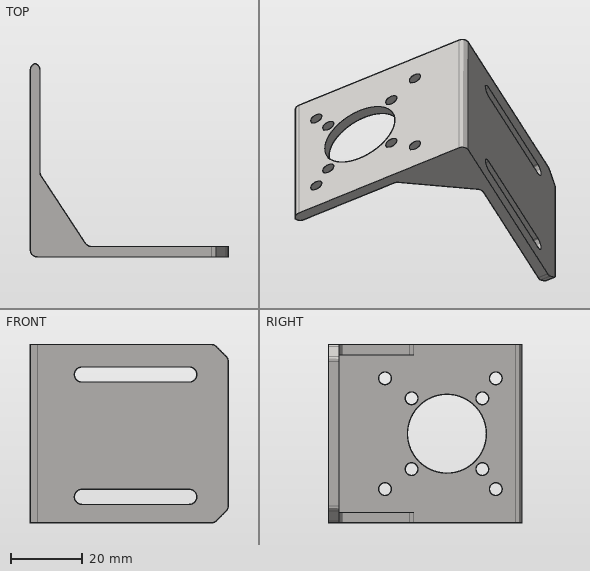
import cadquery as cq
import math

length_x = 55.5
length_y = 54.2
height = 50.0
motor_plate_thickness = 2.8
slotted_plate_thickness = 3.0
mid_z = height / 2

bend_radius = 2.0
tip_radius = 2.0
corner_radius = 2.0

web_reach_x = 16.05
web_reach_y = 23.2
web_thickness = slotted_plate_thickness
web_blend_radius = 2.0

slot_length = 34.25
slot_width = 4.15
slot_center_x = 29.5
slot_center_z = mid_z - 0.55
slot_spacing = 34.25
corner_chamfer = 3.95

bore_diameter = 22.05
bore_y = 33.2
screw_hole_diameter = 3.5
inner_hole_spacing = 19.8
outer_hole_spacing = 31.0
outer_hole_y = 31.35


def angle_plates():
    """Two plates meeting at a right angle, with a rounded bend and a two-arc pointed motor-plate tip."""
    tip_x = motor_plate_thickness / 2
    tip_height = math.sqrt(tip_radius**2 - (tip_radius - tip_x) ** 2)
    tip_base_y = length_y - tip_height
    half_turn = math.asin(tip_height / tip_radius) / 2
    arc_mid_inset = tip_radius * (1 - math.cos(half_turn))
    arc_mid_y = tip_base_y + tip_radius * math.sin(half_turn)
    plates = (
        cq.Workplane("XY")
        .moveTo(0, 0)
        .lineTo(length_x, 0)
        .lineTo(length_x, slotted_plate_thickness)
        .lineTo(motor_plate_thickness, slotted_plate_thickness)
        .lineTo(motor_plate_thickness, tip_base_y)
        .threePointArc((motor_plate_thickness - arc_mid_inset, arc_mid_y), (tip_x, length_y))
        .threePointArc((arc_mid_inset, arc_mid_y), (0, tip_base_y))
        .close()
        .extrude(height)
    )
    return plates.edges("|Z").edges("<(1, 1, 0)").fillet(bend_radius)


def corner_web(base_z):
    """Triangular web filling the inside corner."""
    return (
        cq.Workplane("XY", origin=(0, 0, base_z))
        .polyline([
            (motor_plate_thickness, slotted_plate_thickness),
            (web_reach_x, slotted_plate_thickness),
            (motor_plate_thickness, web_reach_y),
        ])
        .close()
        .extrude(web_thickness)
    )


def web_blend_edges(body):
    """Short upright edges where the sloping web faces meet the plates."""
    margin = 0.05
    ends = [(web_reach_x, slotted_plate_thickness), (motor_plate_thickness, web_reach_y)]
    edges = body.edges("|Z")
    chosen = []
    for x, y in ends:
        box = cq.selectors.BoxSelector(
            (x - margin, y - margin, 0), (x + margin, y + margin, height)
        )
        chosen += edges.edges(box).vals()
    return body.newObject(chosen)


def trim_corners(body):
    """Chamfer the free corners of the slotted plate and round the chamfer ends."""
    body = body.faces(">X").edges("|Y").chamfer(corner_chamfer)
    chamfer_ends = body.faces(">X").edges("|Y").vals()
    for face in (">Z", "<Z"):
        chamfer_ends += body.faces(face).edges("|Y").edges(">X").vals()
    return body.newObject(chamfer_ends).fillet(corner_radius)


def slots():
    """Cutter for the two adjustment slots."""
    return (
        cq.Workplane("XZ", origin=(slot_center_x, 0, slot_center_z))
        .rarray(0.55, slot_spacing, 1, 2)
        .slot2D(slot_length, slot_width)
        .extrude(-slotted_plate_thickness)
    )


def square_hole_pattern(center_y, spacing):
    """Cutter for four screw holes at the corners of a square."""
    return (
        cq.Workplane("YZ", origin=(0, center_y, mid_z))
        .rarray(spacing, spacing, 2, 2)
        .circle(screw_hole_diameter / 2)
        .extrude(motor_plate_thickness)
    )


def motor_bore():
    """Cutter for the large round opening."""
    return (
        cq.Workplane("YZ", origin=(0, bore_y, mid_z))
        .circle(bore_diameter / 2)
        .extrude(motor_plate_thickness)
    )


bracket = trim_corners(angle_plates())
for web_base_z in (0, height - web_thickness):
    bracket = bracket.union(corner_web(web_base_z))
bracket = web_blend_edges(bracket).fillet(web_blend_radius)

result = (
    bracket
    .cut(slots())
    .cut(motor_bore())
    .cut(square_hole_pattern(bore_y, inner_hole_spacing))
    .cut(square_hole_pattern(outer_hole_y, outer_hole_spacing))
)